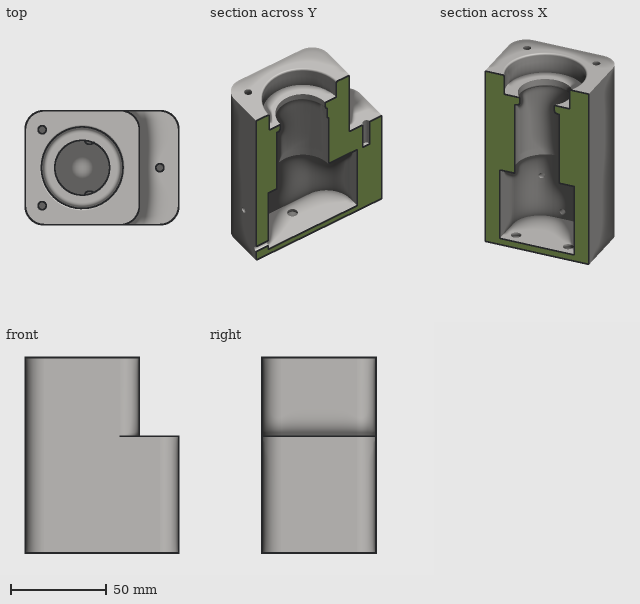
import cadquery as cq

base_length = 80.9
width = 60.0
total_height = 103.0
corner_radius = 10.0

plate_thickness = 16.5
box_height = 45.0
step_z = box_height + plate_thickness
cover_z = total_height - plate_thickness

tower_length = width
bore_x = tower_length / 2
seat_diameter = 43.0
seat_depth = 11.4
seat_rim_fillet = 1.0
lip_diameter = 28.8
lip_fillet = 1.5
shaft_bore_diameter = 32.9

pad_diameter = 10.0
pad_z = total_height - 19.0
pad_face_offset = 15.7

cavity_start_x = 8.0
cavity_end_x = 64.9
cavity_width = seat_diameter
cavity_corner_radius = 15.7
floor_thickness = 4.0

floor_pocket_diameter = 5.6
floor_pocket_depth = floor_thickness / 2
floor_pocket_x = bore_x + 3.9
floor_pocket_y = 15.0

screw_diameter = 4.2
tower_screw_x = 9.0
tower_screw_y = 20.0
step_screw_x = base_length - 10.0

side_hole_diameter = 3.3
side_hole_circle_diameter = 26.4
side_hole_center_z = 21.5
side_hole_start_angle = 30
side_hole_count = 3
side_hole_depth = cavity_start_x + cavity_corner_radius


def rounded_block(start_x, length, block_width, radius, bottom_z, top_z):
    """Block with rounded vertical edges, centred on Y = 0."""
    return (
        cq.Workplane("XY", origin=(start_x + length / 2, 0, bottom_z))
        .rect(length, block_width)
        .extrude(top_z - bottom_z)
        .edges("|Z")
        .fillet(radius)
    )


def holes_down(points, diameter, depth, top_z):
    """Round holes going down from top_z."""
    return (
        cq.Workplane("XY", origin=(0, 0, top_z))
        .pushPoints(points)
        .circle(diameter / 2)
        .extrude(-depth)
    )


def outer_body():
    base = rounded_block(0, base_length, width, corner_radius, 0, step_z)
    tower = rounded_block(0, tower_length, width, corner_radius, 0, total_height)
    return base.union(tower)


def stepped_bore():
    """Profile of the seat, the rounded lip and the shaft bore, revolved about the bore axis."""
    seat_radius = seat_diameter / 2
    lip_radius = lip_diameter / 2
    shaft_radius = shaft_bore_diameter / 2
    seat_z = total_height - seat_depth
    return (
        cq.Workplane("XZ", origin=(bore_x, 0, 0))
        .moveTo(0, total_height)
        .lineTo(seat_radius + seat_rim_fillet, total_height)
        .radiusArc((seat_radius, total_height - seat_rim_fillet), -seat_rim_fillet)
        .lineTo(seat_radius, seat_z)
        .lineTo(lip_radius, seat_z)
        .lineTo(lip_radius, cover_z + lip_fillet)
        .radiusArc((lip_radius + lip_fillet, cover_z), -lip_fillet)
        .lineTo(shaft_radius, cover_z)
        .lineTo(shaft_radius, box_height)
        .lineTo(0, box_height)
        .close()
        .revolve(360, (0, 0, 0), (0, 1, 0))
    )


def bore_pad():
    """Pad that rises from the shaft bore wall to a flat round face towards -X."""
    return (
        cq.Workplane("YZ", origin=(bore_x + pad_face_offset, 0, pad_z))
        .circle(pad_diameter / 2)
        .extrude(shaft_bore_diameter / 2 - pad_face_offset)
    )


def box_cavity():
    length = cavity_end_x - cavity_start_x
    return rounded_block(
        cavity_start_x, length, cavity_width, cavity_corner_radius, floor_thickness, box_height
    )


def side_holes():
    return (
        cq.Workplane("YZ", origin=(0, 0, side_hole_center_z))
        .polarArray(side_hole_circle_diameter / 2, side_hole_start_angle, 360, side_hole_count)
        .circle(side_hole_diameter / 2)
        .extrude(side_hole_depth)
    )


tower_screws = [(tower_screw_x, -tower_screw_y), (tower_screw_x, tower_screw_y)]
floor_pockets = [(floor_pocket_x, -floor_pocket_y), (floor_pocket_x, floor_pocket_y)]

result = (
    outer_body()
    .cut(stepped_bore())
    .union(bore_pad())
    .cut(box_cavity())
    .cut(holes_down(floor_pockets, floor_pocket_diameter, floor_pocket_depth, floor_thickness))
    .cut(holes_down(tower_screws, screw_diameter, plate_thickness, total_height))
    .cut(holes_down([(step_screw_x, 0)], screw_diameter, plate_thickness, step_z))
    .cut(side_holes())
)